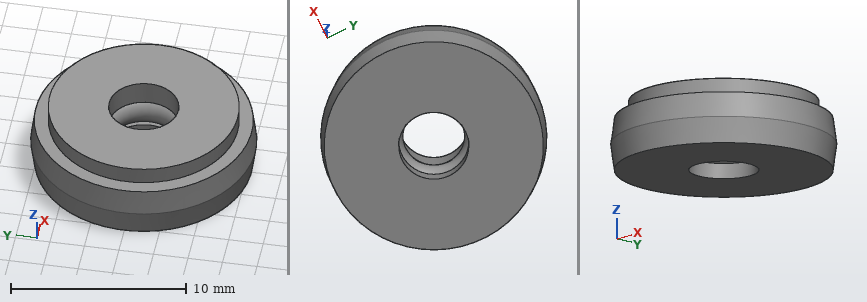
import cadquery as cq

rim_radius = 6.45
rim_edge_radius = 6.25
boss_radius = 5.45
bore_radius = 2.0
total_height = 4.0
boss_height = 1.0
groove_top_depth = 1.4
groove_width = 1.7
ring_inner_radius = 1.75

rim_height = total_height - boss_height
rim_middle = rim_height / 2
groove_center = total_height - groove_top_depth - groove_width / 2
ring_section_radius = groove_width / 2
ring_center_radius = ring_inner_radius + ring_section_radius
groove_radius = ring_center_radius + ring_section_radius


def make_housing():
    """Disc with a double-tapered rim, a raised boss and a grooved through bore."""
    body = (
        cq.Workplane("XZ")
        .moveTo(0, 0)
        .lineTo(rim_edge_radius, 0)
        .lineTo(rim_radius, rim_middle)
        .lineTo(rim_edge_radius, rim_height)
        .lineTo(boss_radius, rim_height)
        .lineTo(boss_radius, total_height)
        .lineTo(0, total_height)
        .close()
        .revolve(360, (0, 0), (0, 1))
    )
    bore = cq.Workplane("XY").circle(bore_radius).extrude(total_height)
    groove = (
        cq.Workplane("XY", origin=(0, 0, groove_center - groove_width / 2))
        .circle(groove_radius)
        .extrude(groove_width)
    )
    return body.cut(bore).cut(groove)


def make_seal_ring():
    """Round-section ring that fills the groove's width and stands proud of the bore."""
    return (
        cq.Workplane("XZ")
        .center(ring_center_radius, groove_center)
        .circle(ring_section_radius)
        .revolve(360, (-ring_center_radius, 0), (-ring_center_radius, 1))
    )


housing = make_housing()
seal_ring = make_seal_ring()

result = cq.Compound.makeCompound([housing.val(), seal_ring.val()])